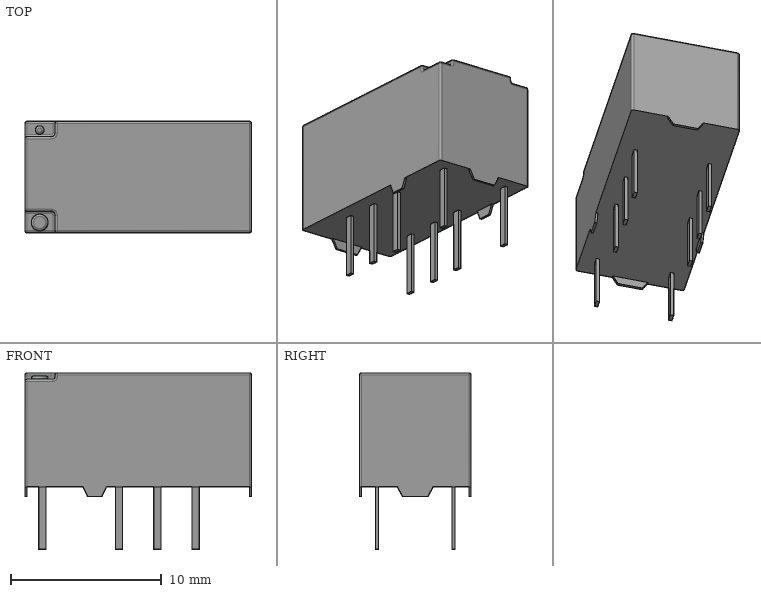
import cadquery as cq

length = 15.01
width = 7.4
total_height = 11.7

pin_drop = 3.5
tab_depth = 0.65
edge_radius = 0.15
tab_thickness = 0.15

end_tab_top = 2.4
end_tab_bottom = 1.68
side_tab_top = 1.58
side_tab_bottom = 0.95
side_tab_x = -2.88

pin_width = 0.5
pin_thickness = 0.23
pin_pitch = 2.54
row_spacing = 2 * pin_pitch
first_pin_x = -6.35
pin_steps = (0, 2, 3, 4)
pin_embed = 0.15

pocket_depth = 0.42
pocket_length = 2.0
front_pocket_width = 1.43
rear_pocket_width = 1.02
pocket_corner_radius = 0.25

boss_height = 0.21
boss_x_inset = 0.98
front_boss_radius = 0.55
front_boss_y_inset = 0.69
rear_boss_radius = 0.29
rear_boss_y_inset = 0.59

top_z = total_height
tab_tip_z = pin_drop
wall_z = tab_tip_z + tab_depth
floor_z = top_z - pocket_depth
left_x = -length / 2
front_y = -width / 2
rear_y = width / 2


def make_block():
    """Plain case block with rounded upright edges."""
    return (
        cq.Workplane("XY", origin=(0, 0, wall_z))
        .rect(length, width)
        .extrude(top_z - wall_z)
        .edges("|Z")
        .fillet(edge_radius)
    )


def make_pocket(corner_y, pocket_width):
    """Cutter for a corner pocket: rounded inner corner and rounded floor edge."""
    return (
        cq.Workplane("XY", origin=(left_x, corner_y, floor_z))
        .rect(2 * pocket_length, 2 * pocket_width)
        .extrude(2 * pocket_depth)
        .edges("|Z")
        .fillet(pocket_corner_radius)
        .faces("<Z")
        .edges()
        .fillet(edge_radius)
    )


def round_upper_edges(case):
    """Round the rim of the top and, by tangency, the whole outer edge of each pocket."""
    rim = case.faces(">Z").edges().vals()
    pocket_edges = [
        case.edges(cq.NearestToPointSelector((left_x + pocket_length / 2, y, floor_z))).val()
        for y in (front_y, rear_y)
    ]
    return case.newObject(rim + pocket_edges).fillet(edge_radius)


def make_boss(boss_y, radius):
    """Round boss on a pocket floor with a rounded top edge."""
    return (
        cq.Workplane("XY", origin=(left_x + boss_x_inset, boss_y, floor_z - edge_radius))
        .circle(radius)
        .extrude(edge_radius + boss_height)
        .faces(">Z")
        .edges()
        .fillet(edge_radius)
    )


def make_tab(plane, origin, top_width, bottom_width):
    """Tapered tab hanging below a wall; it grows along the normal of its plane."""
    return (
        cq.Workplane(cq.Plane(origin, xDir=plane.xDir, normal=plane.zDir))
        .polyline(
            [
                (-top_width / 2, 0),
                (-bottom_width / 2, -tab_depth),
                (bottom_width / 2, -tab_depth),
                (top_width / 2, 0),
            ]
        )
        .close()
        .extrude(tab_thickness)
    )


def make_tabs():
    """One tab under each of the four walls, flush with the outside of the wall."""
    across = cq.Plane.named("YZ")
    along = cq.Plane.named("XZ")
    tabs = cq.Workplane("XY")
    for start_x in (left_x, -left_x - tab_thickness):
        tabs = tabs.add(make_tab(across, (start_x, 0, wall_z), end_tab_top, end_tab_bottom))
    for start_y in (front_y + tab_thickness, rear_y):
        tabs = tabs.add(make_tab(along, (side_tab_x, start_y, wall_z), side_tab_top, side_tab_bottom))
    return tabs.combine()


def make_pins():
    """Two rows of flat pins, let a little way into the case."""
    places = [
        (first_pin_x + step * pin_pitch, side * row_spacing / 2)
        for step in pin_steps
        for side in (-1, 1)
    ]
    return cq.Workplane("XY").pushPoints(places).rect(pin_width, pin_thickness).extrude(wall_z + pin_embed)


case = make_block()
case = case.cut(make_pocket(front_y, front_pocket_width))
case = case.cut(make_pocket(rear_y, rear_pocket_width))
case = round_upper_edges(case)

result = (
    case.union(make_boss(front_y + front_boss_y_inset, front_boss_radius))
    .union(make_boss(rear_y - rear_boss_y_inset, rear_boss_radius))
    .union(make_tabs())
    .union(make_pins())
)